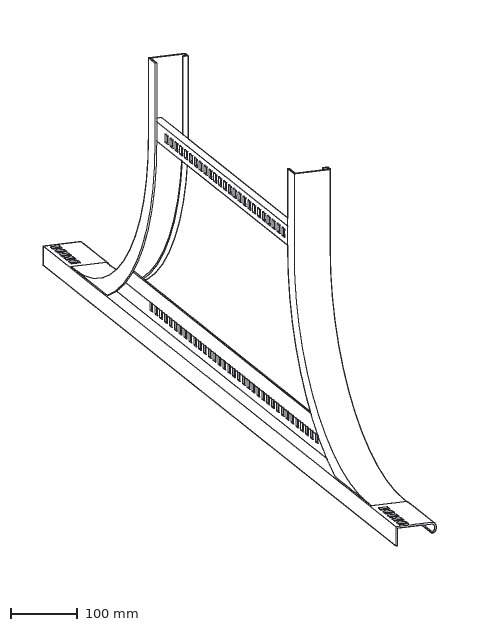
import cadquery as cq
import math

SHEET = 3.0
RAIL_LENGTH = 1450.0
RAIL_DEPTH = 65.0
RAIL_HEIGHT = 30.0
TOTAL_HEIGHT = 457.0

RAIL_END = 107.0
LIP_DEPTH = 17.0
LIP_RETURN = 7.0
BEND_RADIUS = 7.0
PLATE_FRONT = 23.0
PLATE_STEP_Z = 74.0
PLATE_TOP = 97.0

ARC_RADIUS = 300.0
WALL_X = 300.0
CURVE_FRONT = 3.0
CURVE_DEPTH = 60.0
CURVE_FLANGE = 28.0
CURVE_LIP = 13.0
CURVE_LIP_RETURN = 9.0
CURVE_BEND_RADIUS = 5.0

RUNG_FRONT = 9.0
RUNG_DEPTH = 15.0
RUNG_BOTTOM = 330.0
RUNG_HEIGHT = 30.0
RUNG_LIP = 10.0

RUNG_HOLE_COUNT = 25
HOLE_SPAN = 480.0
RUNG_HOLE_WIDTH = 12.0
RUNG_HOLE_HEIGHT = 13.0
PLATE_HOLE_COUNT = 35
PLATE_HOLE_WIDTH = 10.0
PLATE_HOLE_HEIGHT = 19.0
PLATE_HOLE_Z = 52.0
END_SLOT_COUNT = 5
END_SLOT_PITCH = 19.0
END_SLOT_WIDTH = 12.0
END_SLOT_DEPTH = 15.0
END_SLOT_Y = 16.0
END_SLOT_MIDDLE = 51.0

HOLE_PITCH = HOLE_SPAN / (RUNG_HOLE_COUNT - 1)
OUTER_RADIUS = ARC_RADIUS + SHEET
ARC_X = -WALL_X - ARC_RADIUS
ARC_Z = RAIL_HEIGHT + ARC_RADIUS
TAIL_X = -RAIL_LENGTH / 2 + RAIL_END
STRIP_FRONT = CURVE_FRONT + SHEET
CURVE_BACK = CURVE_FRONT + CURVE_DEPTH
RUNG_LENGTH = 2 * (WALL_X - SHEET)


def box(x0, x1, y0, y1, z0, z1):
    """A box between two corners."""
    return cq.Workplane("XY").box(x1 - x0, y1 - y0, z1 - z0, centered=False).translate((x0, y0, z0))


def mirrored(body):
    """The same body on the other side of the middle plane X = 0."""
    return body.mirror("YZ")


def centred_places(count, pitch):
    """Evenly spaced positions about zero."""
    return [(i - (count - 1) / 2) * pitch for i in range(count)]


def arc_sweep_outline(inner, outer):
    """Band at the given radii: straight top, quarter arc and short flat tail."""
    half = math.sqrt(0.5)
    return (
        cq.Workplane("XZ")
        .moveTo(ARC_X + inner, TOTAL_HEIGHT)
        .lineTo(ARC_X + inner, ARC_Z)
        .threePointArc((ARC_X + inner * half, ARC_Z - inner * half), (ARC_X, ARC_Z - inner))
        .lineTo(TAIL_X, ARC_Z - inner)
        .lineTo(TAIL_X, ARC_Z - outer)
        .lineTo(ARC_X, ARC_Z - outer)
        .threePointArc((ARC_X + outer * half, ARC_Z - outer * half), (ARC_X + outer, ARC_Z))
        .lineTo(ARC_X + outer, TOTAL_HEIGHT)
        .close()
    )


def curve_band(inner, outer, y0, y1):
    """Band at the given radii, filling the depth from y0 to y1."""
    return arc_sweep_outline(inner, outer).extrude(-(y1 - y0)).translate((0, y0, 0))


def rounded_along_back(band, radius, back, fillet):
    """The band with its back edge at the given radius rounded along the whole path."""
    on_path = cq.selectors.NearestToPointSelector((ARC_X + radius, back, (ARC_Z + TOTAL_HEIGHT) / 2))
    return band.edges(on_path).fillet(fillet)


def make_curved_rail():
    """Left curved rail: web, front flange and returned back lip."""
    lip_end = ARC_RADIUS + CURVE_LIP
    flange = curve_band(ARC_RADIUS, ARC_RADIUS + CURVE_FLANGE, CURVE_FRONT, CURVE_FRONT + SHEET)
    below_web = box(TAIL_X, 0, 0, RAIL_DEPTH, 0, RAIL_HEIGHT)
    flange = flange.cut(below_web)
    block = curve_band(ARC_RADIUS, lip_end, CURVE_FRONT, CURVE_BACK)
    block = rounded_along_back(block, ARC_RADIUS, CURVE_BACK, CURVE_BEND_RADIUS)
    hollow_back = CURVE_BACK - SHEET
    hollow = curve_band(OUTER_RADIUS, lip_end - SHEET, CURVE_FRONT, hollow_back)
    hollow = rounded_along_back(hollow, OUTER_RADIUS, hollow_back, CURVE_BEND_RADIUS - SHEET)
    before_return = curve_band(OUTER_RADIUS, lip_end, CURVE_FRONT, CURVE_BACK - CURVE_LIP_RETURN)
    return block.cut(hollow).cut(before_return).union(flange)


def make_rail_end():
    """Full-width left end: slotted web with a rolled lip at the back."""
    length = RAIL_END
    start = -RAIL_LENGTH / 2
    flat = box(start, start + length, 0, RAIL_DEPTH - BEND_RADIUS, RAIL_HEIGHT - SHEET, RAIL_HEIGHT)
    outer = box(start, start + length, RAIL_DEPTH - 2 * BEND_RADIUS, RAIL_DEPTH,
                RAIL_HEIGHT - LIP_DEPTH, RAIL_HEIGHT)
    outer = outer.edges("|X and >Y").fillet(BEND_RADIUS)
    inner = box(start, start + length, RAIL_DEPTH - 2 * BEND_RADIUS, RAIL_DEPTH - SHEET,
                RAIL_HEIGHT - LIP_DEPTH + SHEET, RAIL_HEIGHT - SHEET)
    inner = inner.edges("|X and >Y").fillet(BEND_RADIUS - SHEET)
    beyond_return = box(start, start + length, 0, RAIL_DEPTH - LIP_RETURN, 0, RAIL_HEIGHT - SHEET)
    end = flat.union(outer.cut(inner).cut(beyond_return))
    for place in centred_places(END_SLOT_COUNT, END_SLOT_PITCH):
        middle = start + END_SLOT_MIDDLE + place
        end = end.cut(box(middle - END_SLOT_WIDTH / 2, middle + END_SLOT_WIDTH / 2,
                          END_SLOT_Y - END_SLOT_DEPTH / 2, END_SLOT_Y + END_SLOT_DEPTH / 2, 0, RAIL_HEIGHT))
    return end


def make_rail_middle():
    """Narrow web, slotted back plate and forward strip, ending at the curved webs."""
    plate_back = PLATE_FRONT + SHEET
    web = box(TAIL_X, -TAIL_X, 0, plate_back, RAIL_HEIGHT - SHEET, RAIL_HEIGHT)
    plate = box(TAIL_X, -TAIL_X, PLATE_FRONT, plate_back, RAIL_HEIGHT - SHEET, PLATE_STEP_Z)
    shelf = box(TAIL_X, -TAIL_X, STRIP_FRONT, plate_back, PLATE_STEP_Z - SHEET, PLATE_STEP_Z)
    strip = box(TAIL_X, -TAIL_X, STRIP_FRONT, STRIP_FRONT + SHEET, PLATE_STEP_Z - SHEET, PLATE_TOP)
    middle = web.union(plate).union(shelf).union(strip)
    for place in centred_places(PLATE_HOLE_COUNT, HOLE_PITCH):
        middle = middle.cut(box(place - PLATE_HOLE_WIDTH / 2, place + PLATE_HOLE_WIDTH / 2,
                                PLATE_FRONT, plate_back,
                                PLATE_HOLE_Z - PLATE_HOLE_HEIGHT / 2, PLATE_HOLE_Z + PLATE_HOLE_HEIGHT / 2))
    inside_curve = curve_band(ARC_RADIUS / 2, OUTER_RADIUS, 0, RAIL_DEPTH)
    return middle.cut(inside_curve).cut(mirrored(inside_curve))


def make_rail():
    """Straight rail with its front flange running the full length."""
    flange = box(-RAIL_LENGTH / 2, RAIL_LENGTH / 2, 0, SHEET, 0, RAIL_HEIGHT)
    end = make_rail_end()
    return flange.union(make_rail_middle()).union(end).union(mirrored(end))


def make_rung():
    """C-shaped perforated rung, open at the back."""
    back = RUNG_FRONT + RUNG_DEPTH
    top = RUNG_BOTTOM + RUNG_HEIGHT
    half = RUNG_LENGTH / 2
    rung = box(-half, half, RUNG_FRONT, back, RUNG_BOTTOM, top)
    rung = rung.cut(box(-half, half, RUNG_FRONT + SHEET, back - SHEET, RUNG_BOTTOM + SHEET, top - SHEET))
    rung = rung.cut(box(-half, half, RUNG_FRONT + SHEET, back, RUNG_BOTTOM + RUNG_LIP, top - RUNG_LIP))
    middle = RUNG_BOTTOM + RUNG_HEIGHT / 2
    for place in centred_places(RUNG_HOLE_COUNT, HOLE_PITCH):
        rung = rung.cut(box(place - RUNG_HOLE_WIDTH / 2, place + RUNG_HOLE_WIDTH / 2,
                            RUNG_FRONT, RUNG_FRONT + SHEET,
                            middle - RUNG_HOLE_HEIGHT / 2, middle + RUNG_HOLE_HEIGHT / 2))
    return rung


rail = make_rail()
left_curve = make_curved_rail()
right_curve = mirrored(left_curve)
rung = make_rung()

result = cq.Compound.makeCompound([rail.val(), left_curve.val(), right_curve.val(), rung.val()])